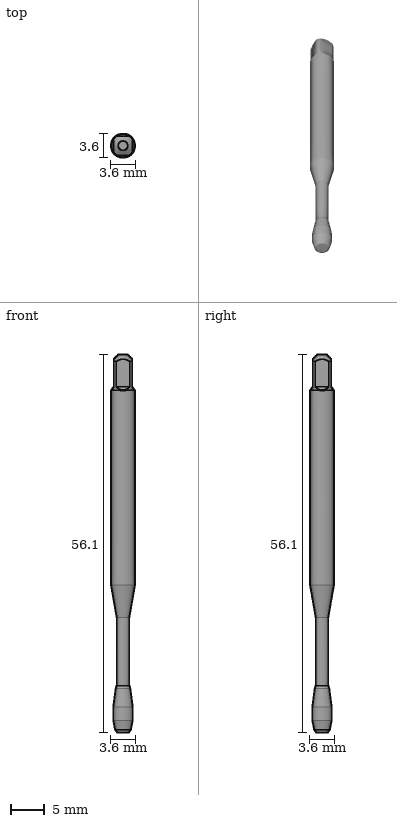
import cadquery as cq
import math

LENGTH = 56.1

TIP_DIAMETER = 1.6
LEAD_DIAMETER = 2.35
HEAD_DIAMETER = 2.9
SHOULDER_DIAMETER = 2.2
LEAD_START_Z = 0.45
HEAD_START_Z = 1.85
HEAD_END_Z = 3.85
SHOULDER_Z = 6.6
HEAD_TOP_Z = 7.0

NECK_DIAMETER = 1.9
SHANK_DIAMETER = 3.6
NECK_END_Z = 17.1
SHANK_START_Z = 21.95
SHANK_END_Z = 50.8

DRIVE_DIAMETER = 3.4
END_FACE_DIAMETER = 1.4
END_CONE_START_Z = LENGTH - (DRIVE_DIAMETER - END_FACE_DIAMETER) / 2
ACROSS_FLATS = 2.8
FLAT_START_Z = 51.3
RUN_OUT_ANGLE = 55
FLAT_COUNT = 4


def revolve_profile(sections):
    """Revolve a list of (diameter, height) sections about Z, closed along the axis."""
    bottom_z = sections[0][1]
    top_z = sections[-1][1]
    outline = [(0, bottom_z)]
    outline += [(diameter / 2, z) for diameter, z in sections]
    outline.append((0, top_z))
    return cq.Workplane("XZ").polyline(outline).close().revolve(360, (0, 0), (0, 1))


def make_flat_cutter():
    """Prism that cuts the +X drive flat and its sloping run-out at the lower end."""
    flat_x = ACROSS_FLATS / 2
    outer_x = SHANK_DIAMETER
    run_out_drop = (outer_x - flat_x) * math.tan(math.radians(RUN_OUT_ANGLE))
    outline = [
        (flat_x, FLAT_START_Z),
        (flat_x, LENGTH),
        (outer_x, LENGTH),
        (outer_x, FLAT_START_Z - run_out_drop),
    ]
    return cq.Workplane("XZ").polyline(outline).close().extrude(SHANK_DIAMETER / 2, both=True)


def make_head():
    """Tapered forming head that meets the neck at a flat joint."""
    return revolve_profile([
        (TIP_DIAMETER, 0),
        (LEAD_DIAMETER, LEAD_START_Z),
        (HEAD_DIAMETER, HEAD_START_Z),
        (HEAD_DIAMETER, HEAD_END_Z),
        (SHOULDER_DIAMETER, SHOULDER_Z),
        (NECK_DIAMETER, HEAD_TOP_Z),
    ])


def make_shank():
    """Neck, transition cone, round shank and square drive."""
    shank = revolve_profile([
        (NECK_DIAMETER, HEAD_TOP_Z),
        (NECK_DIAMETER, NECK_END_Z),
        (SHANK_DIAMETER, SHANK_START_Z),
        (SHANK_DIAMETER, SHANK_END_Z),
        (DRIVE_DIAMETER, SHANK_END_Z),
        (DRIVE_DIAMETER, END_CONE_START_Z),
        (END_FACE_DIAMETER, LENGTH),
    ])
    cutter = make_flat_cutter()
    for index in range(FLAT_COUNT):
        angle = index * 360 / FLAT_COUNT
        shank = shank.cut(cutter.rotate((0, 0, 0), (0, 0, 1), angle))
    return shank


head = make_head()
shank = make_shank()

result = cq.Compound.makeCompound([head.val(), shank.val()])